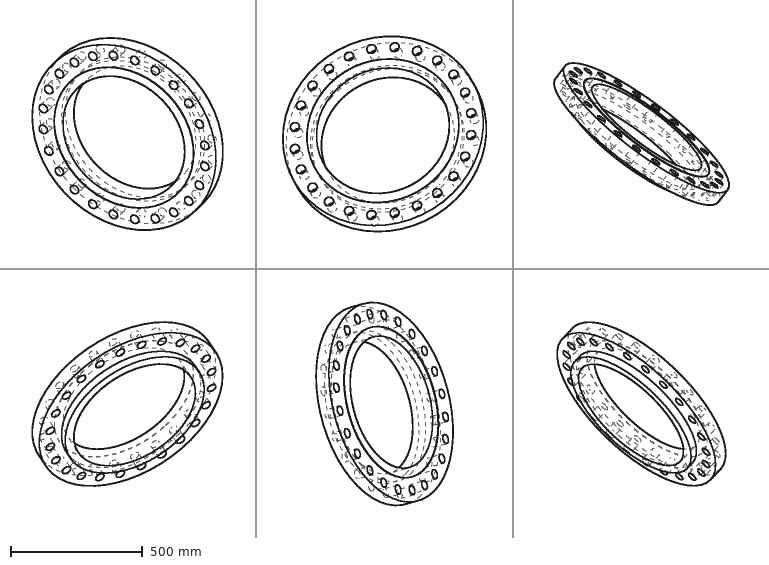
import cadquery as cq

flange_diameter = 775.0
bore_diameter = 513.0
hub_diameter = 587.0
face_diameter = 587.0
total_length = 95.0
face_height = 2.0
flange_thickness = 61.0
hub_length = total_length - face_height - flange_thickness

bolt_circle_diameter = 686.0
bolt_hole_diameter = 35.0
bolt_count = 24
bolt_pitch_angle = 360 / bolt_count


def extend(body, diameter, length):
    """Add a coaxial disc to the +Y end of the body."""
    return body.faces(">Y").workplane(origin=(0, 0, 0)).circle(diameter / 2).extrude(length)


front_plane = cq.Workplane("XZ", origin=(0, -total_length / 2, 0))
body = front_plane.circle(face_diameter / 2).extrude(-face_height)
body = extend(body, flange_diameter, flange_thickness)
body = extend(body, hub_diameter, hub_length)

bore = front_plane.circle(bore_diameter / 2).extrude(-total_length)

bolt_holes = (
    front_plane
    .polarArray(bolt_circle_diameter / 2, bolt_pitch_angle / 2, 360, bolt_count)
    .circle(bolt_hole_diameter / 2)
    .extrude(-total_length)
)

result = body.cut(bore).cut(bolt_holes)